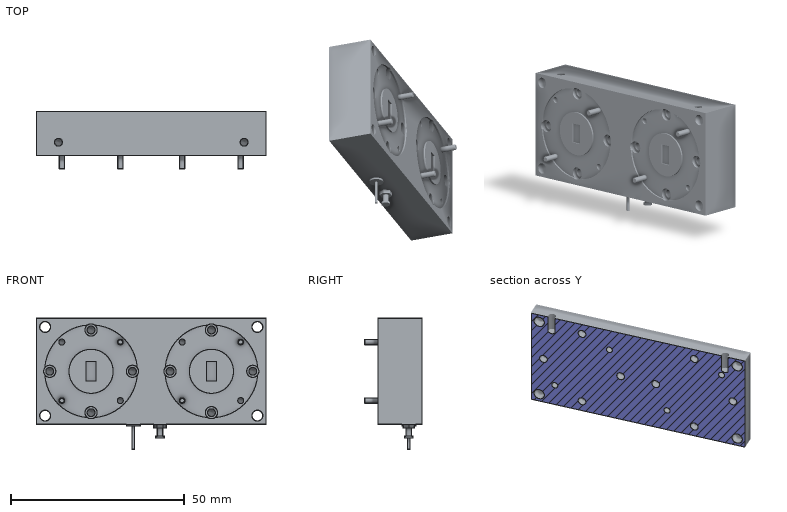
import cadquery as cq
import math

WIDTH = 66.05
DEPTH = 12.7
HEIGHT = 30.5

CORNER_HOLE_DIAMETER = 3.05
CORNER_HOLE_INSET = 2.5

TOP_HOLE_DIAMETER = 2.25
TOP_HOLE_DEPTH = 5.3
TOP_HOLE_INSET_X = 6.35
TOP_HOLE_Y = 3.8

PORT_OFFSET_X = 17.3
PORT_CENTERS_X = (-PORT_OFFSET_X, PORT_OFFSET_X)
PORT_CENTER_Z = HEIGHT / 2
PORT_OUTER_DIAMETER = 26.7
PORT_INNER_DIAMETER = 12.7
PORT_RECESS_DEPTH = 0.51
WAVEGUIDE_WIDTH = 2.85
WAVEGUIDE_HEIGHT = 2 * WAVEGUIDE_WIDTH
WAVEGUIDE_DEPTH = PORT_RECESS_DEPTH

BOLT_CIRCLE_RADIUS = 11.9
SCREW_ANGLES = (0, 90, 180, 270)
OPEN_DOWEL_HOLE_ANGLES = (135, 315)
DOWEL_ANGLES = (45, 225)

SCREW_HOLE_DIAMETER = 2.25
SCREW_HOLE_DEPTH = 6.6
COUNTERBORE_DIAMETER = 3.5
COUNTERBORE_DEPTH = 1.5
OPEN_DOWEL_HOLE_DIAMETER = 1.7
OPEN_DOWEL_HOLE_DEPTH = 5.3
DRILL_POINT_ANGLE = 118.0

DOWEL_DIAMETER = 1.6
DOWEL_LENGTH = 6.35
DOWEL_PROTRUSION = 3.9
DOWEL_SEAT_DEPTH = DOWEL_LENGTH - DOWEL_PROTRUSION
DOWEL_CHAMFER = 0.15

TERMINAL_Y = DEPTH - 3.8
PIN_TERMINAL_X = -5.15
PIN_FLANGE_DIAMETER = 4.0
PIN_FLANGE_THICKNESS = 0.5
PIN_DIAMETER = 0.8
PIN_LENGTH = 7.2
TURRET_X = 2.5
TURRET_HEX_ACROSS_FLATS = 3.2
TURRET_HEX_HEIGHT = 1.05
TURRET_POST_DIAMETER = 1.65
TURRET_HEAD_DIAMETER = 2.5
TURRET_HEAD_THICKNESS = 0.6
TURRET_LENGTH = 3.95

INWARD = cq.Vector(0, 1, 0)
OUTWARD = cq.Vector(0, -1, 0)
DOWN = cq.Vector(0, 0, -1)


def cylinder(diameter, length, base, direction):
    return cq.Workplane(obj=cq.Solid.makeCylinder(diameter / 2, length, base, direction))


def drilled_hole(diameter, depth, mouth, direction):
    """Blind hole, full diameter down to `depth`, with a conical drill point beyond it."""
    point_depth = diameter / 2 / math.tan(math.radians(DRILL_POINT_ANGLE / 2))
    point = cq.Solid.makeCone(diameter / 2, 0, point_depth, mouth + direction * depth, direction)
    return cylinder(diameter, depth, mouth, direction).union(cq.Workplane(obj=point))


def bolt_circle_point(port_x, angle):
    """Point on the front face, on the bolt circle of the port centred at `port_x`."""
    across = BOLT_CIRCLE_RADIUS * math.cos(math.radians(angle))
    up = BOLT_CIRCLE_RADIUS * math.sin(math.radians(angle))
    return cq.Vector(port_x + across, 0, PORT_CENTER_Z + up)


def cut_corner_holes(body):
    for x in (-WIDTH / 2 + CORNER_HOLE_INSET, WIDTH / 2 - CORNER_HOLE_INSET):
        for z in (CORNER_HOLE_INSET, HEIGHT - CORNER_HOLE_INSET):
            body = body.cut(cylinder(CORNER_HOLE_DIAMETER, DEPTH, cq.Vector(x, 0, z), INWARD))
    return body


def cut_top_holes(body):
    for x in (-WIDTH / 2 + TOP_HOLE_INSET_X, WIDTH / 2 - TOP_HOLE_INSET_X):
        mouth = cq.Vector(x, TOP_HOLE_Y, HEIGHT)
        body = body.cut(drilled_hole(TOP_HOLE_DIAMETER, TOP_HOLE_DEPTH, mouth, DOWN))
    return body


def cut_port_face(body, port_x):
    """Ring-shaped recess and the rectangular waveguide opening in its raised centre."""
    center = cq.Vector(port_x, 0, PORT_CENTER_Z)
    recess = cylinder(PORT_OUTER_DIAMETER, PORT_RECESS_DEPTH, center, INWARD)
    raised_center = cylinder(PORT_INNER_DIAMETER, PORT_RECESS_DEPTH, center, INWARD)
    waveguide = (
        cq.Workplane("XY")
        .box(WAVEGUIDE_WIDTH, WAVEGUIDE_DEPTH, WAVEGUIDE_HEIGHT, centered=(True, False, True))
        .translate(center)
    )
    return body.cut(recess.cut(raised_center)).cut(waveguide)


def cut_bolt_circle(body, port_x):
    """Counterbored screw holes, open dowel holes and the seats of the dowels."""
    for angle in SCREW_ANGLES:
        mouth = bolt_circle_point(port_x, angle)
        body = body.cut(cylinder(COUNTERBORE_DIAMETER, COUNTERBORE_DEPTH, mouth, INWARD))
        body = body.cut(drilled_hole(SCREW_HOLE_DIAMETER, SCREW_HOLE_DEPTH, mouth, INWARD))
    for angle in OPEN_DOWEL_HOLE_ANGLES:
        mouth = bolt_circle_point(port_x, angle)
        body = body.cut(drilled_hole(OPEN_DOWEL_HOLE_DIAMETER, OPEN_DOWEL_HOLE_DEPTH, mouth, INWARD))
    for angle in DOWEL_ANGLES:
        mouth = bolt_circle_point(port_x, angle)
        body = body.cut(cylinder(DOWEL_DIAMETER, DOWEL_SEAT_DEPTH, mouth, INWARD))
    return body


def add_pin_terminal(body):
    """Thin round flange with a long slender pin."""
    base = cq.Vector(PIN_TERMINAL_X, TERMINAL_Y, 0)
    flange = cylinder(PIN_FLANGE_DIAMETER, PIN_FLANGE_THICKNESS, base, DOWN)
    pin = cylinder(PIN_DIAMETER, PIN_LENGTH, base, DOWN)
    return body.union(flange).union(pin)


def add_turret_terminal(body):
    """Hexagonal foot with two flats parallel to the front face, a round post and a wider head."""
    base = cq.Vector(TURRET_X, TERMINAL_Y, 0)
    across_corners = TURRET_HEX_ACROSS_FLATS / math.cos(math.pi / 6)
    foot = cq.Workplane("XY").polygon(6, across_corners).extrude(-TURRET_HEX_HEIGHT).translate(base)
    post = cylinder(TURRET_POST_DIAMETER, TURRET_LENGTH, base, DOWN)
    head_base = base + DOWN * (TURRET_LENGTH - TURRET_HEAD_THICKNESS)
    head = cylinder(TURRET_HEAD_DIAMETER, TURRET_HEAD_THICKNESS, head_base, DOWN)
    return body.union(foot).union(post).union(head)


def make_housing():
    body = cq.Workplane("XY").box(WIDTH, DEPTH, HEIGHT, centered=(True, False, False))
    body = cut_corner_holes(body)
    body = cut_top_holes(body)
    for port_x in PORT_CENTERS_X:
        body = cut_port_face(body, port_x)
        body = cut_bolt_circle(body, port_x)
    body = add_pin_terminal(body)
    return add_turret_terminal(body)


def make_dowel(port_x, angle):
    """Dowel standing on the bottom of its seat, chamfered at the free end."""
    seat_bottom = bolt_circle_point(port_x, angle) + INWARD * DOWEL_SEAT_DEPTH
    dowel = cylinder(DOWEL_DIAMETER, DOWEL_LENGTH, seat_bottom, OUTWARD)
    return dowel.faces("<Y").chamfer(DOWEL_CHAMFER)


housing = make_housing()

dowels = []
for port_x in PORT_CENTERS_X:
    for angle in DOWEL_ANGLES:
        dowels.append(make_dowel(port_x, angle).val())

result = cq.Compound.makeCompound([housing.val(), *dowels])